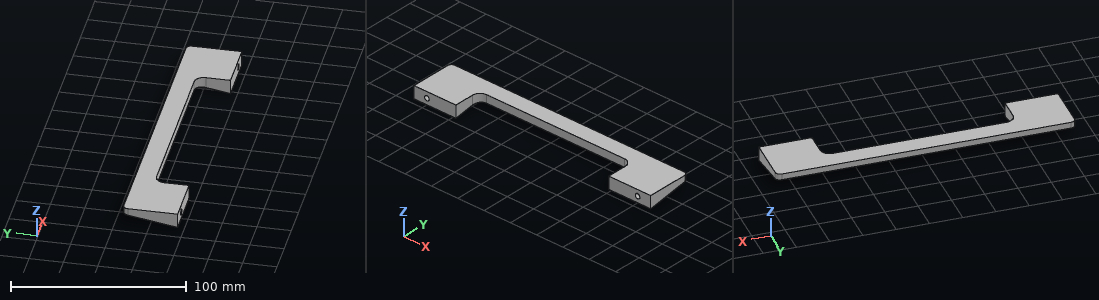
import cadquery as cq
import math

length = 180.0
depth = 32.0
foot_height = 9.0
back_height = 4.0

foot_width = 32.0
bar_width = 12.0
outer_radius = 3.0
inner_radius = 5.5

hole_diameter = 3.5
drill_tip_angle = 118.0
hole_depth = 14.4
hole_spacing = 160.0
hole_drop = 4.5

half_length = length / 2
opening_length = length - 2 * foot_width
opening_depth = depth - bar_width


def wedge_body():
    """Flat-topped wedge, tall at the feet and thin at the back edge."""
    profile = [(0, 0), (depth, 0), (depth, -back_height), (0, -foot_height)]
    wedge = cq.Workplane("YZ").polyline(profile).close().extrude(half_length, both=True)
    return wedge.edges("|Z and >Y").fillet(outer_radius)


def grip_opening():
    """Finger opening between the feet, rounded where it meets the bar."""
    block = cq.Workplane("XY").box(
        opening_length, opening_depth, foot_height, centered=(True, False, False)
    )
    return block.translate((0, 0, -foot_height)).edges("|Z and >Y").fillet(inner_radius)


def screw_hole(x):
    """Drilled hole running back from the front face, ending in a drill cone."""
    radius = hole_diameter / 2
    cone_length = radius / math.tan(math.radians(drill_tip_angle / 2))
    half_section = [(0, 0), (radius, 0), (radius, hole_depth), (0, hole_depth + cone_length)]
    drill = cq.Workplane("XY").polyline(half_section).close().revolve(360, (0, 0), (0, 1))
    return drill.translate((x, 0, -hole_drop))


result = wedge_body().cut(grip_opening())
for side in (-1, 1):
    result = result.cut(screw_hole(side * hole_spacing / 2))